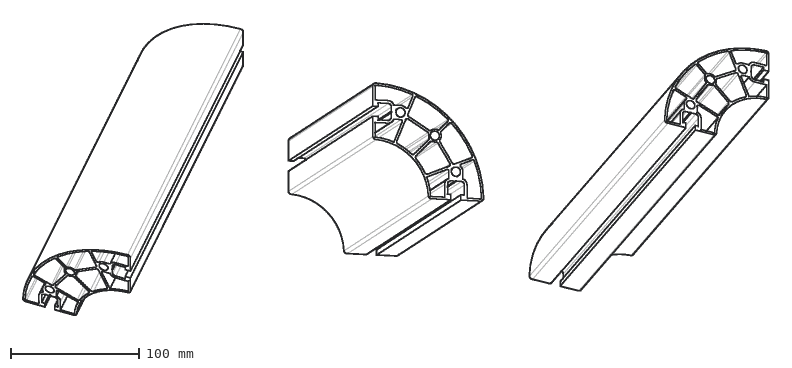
import cadquery as cq
import math

LENGTH = 250.0
OUTER_RADIUS = 89.665
INNER_RADIUS = 44.9
WALL = 1.8
OUTER_CORNER_RADIUS = 2.5

RIB = 1.9
MIDDLE_RIB = 2.0
MIDDLE_SPOKE_ANGLE = 45.0
SIDE_SPOKE_ANGLE = MIDDLE_SPOKE_ANGLE / 2

OUTER_JUNCTION_RADIUS = 1.1
INNER_JUNCTION_RADIUS = 2.0
BOSS_JUNCTION_RADIUS = 1.35
FOOT_RADIUS = 1.0
CLEARANCE = 0.1

SLOT_OFFSET = 67.2
SLOT_OPENING = 8.1
SLOT_WIDTH = 13.4
SLOT_DEPTH = 14.9
SLOT_LIP = 4.3
SLOT_WALL = 2.25
SLOT_CORNER_RADIUS = 2.6
NOTCH_WIDTH = 1.0
NOTCH_DEPTH = 0.5

END_HOLE_DIAMETER = 7.34
END_HOLE_HEIGHT = 22.4
END_BOSS_DIAMETER = 11.3

MIDDLE_HOLE_DIAMETER = 7.28
MIDDLE_BOSS_DIAMETER = 10.25
MIDDLE_OFFSET = 50.175
MIDDLE_CENTRE = (-MIDDLE_OFFSET, MIDDLE_OFFSET)


def profile_plane():
    """Sketch plane at y = 0, with local axes along +X and +Z."""
    return cq.Workplane("XZ")


def extruded(sketch):
    return sketch.extrude(-LENGTH)


def both_legs(leg):
    """A body of the lower leg together with its mirror image about the plane z = -x."""
    return leg.union(leg.rotate((0, 0, 0), (0, 1, 0), 90).mirror("YZ"))


def polar(radius, angle):
    """Section point at a radius and an angle from the -X axis."""
    return (-radius * math.cos(math.radians(angle)), radius * math.sin(math.radians(angle)))


def bar(x, z_low, width, z_high):
    """Full-length bar centred on x, between two heights."""
    height = z_high - z_low
    return extruded(profile_plane().center(x, z_low + height / 2).rect(width, height))


def rod(x, z, diameter):
    return extruded(profile_plane().center(x, z).circle(diameter / 2))


def quarter_ring(inner_radius, outer_radius, inset):
    """Ring sector between two radii, its end faces set in from the axes."""
    outer_reach = math.sqrt(outer_radius**2 - inset**2)
    inner_reach = math.sqrt(inner_radius**2 - inset**2)
    return extruded(
        profile_plane()
        .moveTo(-outer_reach, inset)
        .threePointArc(polar(outer_radius, MIDDLE_SPOKE_ANGLE), (-inset, outer_reach))
        .lineTo(-inset, inner_reach)
        .threePointArc(polar(inner_radius, MIDDLE_SPOKE_ANGLE), (-inner_reach, inset))
        .close()
    )


def web(start, end, thickness):
    """Flat web between two points of the section."""
    run = end[0] - start[0]
    rise = end[1] - start[1]
    slope = math.degrees(math.atan2(rise, run))
    plate = extruded(profile_plane().rect(math.hypot(run, rise), thickness))
    plate = plate.rotate((0, 0, 0), (0, 1, 0), -slope)
    return plate.translate((start[0] + run / 2, 0, start[1] + rise / 2))


def spoke(angle, thickness):
    """Radial web from the inner to the outer wall."""
    return web(polar(INNER_RADIUS, angle), polar(OUTER_RADIUS, angle), thickness)


def slot_housing():
    """Rounded wall around the slot."""
    width = SLOT_WIDTH + 2 * SLOT_WALL
    housing = bar(-SLOT_OFFSET, 0, width, SLOT_DEPTH + SLOT_WALL)
    return housing.edges("|Y and >Z").fillet(SLOT_CORNER_RADIUS + SLOT_WALL)


def end_boss():
    """Boss of the end screw channel, joined to the slot housing by a neck."""
    neck = bar(-SLOT_OFFSET, SLOT_DEPTH, END_BOSS_DIAMETER, END_HOLE_HEIGHT)
    return neck.union(rod(-SLOT_OFFSET, END_HOLE_HEIGHT, END_BOSS_DIAMETER))


def framework():
    """Everything that stands between the two curved walls."""
    brace = web((-SLOT_OFFSET, END_HOLE_HEIGHT), MIDDLE_CENTRE, RIB)
    leg = slot_housing().union(end_boss()).union(brace).union(spoke(SIDE_SPOKE_ANGLE, RIB))
    middle = rod(*MIDDLE_CENTRE, MIDDLE_BOSS_DIAMETER).union(spoke(MIDDLE_SPOKE_ANGLE, MIDDLE_RIB))
    return both_legs(leg).union(middle)


def blank():
    """Solid quarter ring with its four long corners rounded."""
    ring = quarter_ring(INNER_RADIUS, OUTER_RADIUS, 0)
    return ring.edges("|Y").fillet(OUTER_CORNER_RADIUS)


def corners(spaces, radii, heights):
    """Long edges whose distance from the Y axis and whose height lie in the given ranges."""

    def is_inside(edge):
        middle = edge.Center()
        radius = math.hypot(middle.x, middle.z)
        return radii[0] < radius < radii[1] and heights[0] < middle.z < heights[1]

    return spaces.edges("|Y").filter(is_inside)


def leg_cavities():
    """Hollow spaces of the lower leg, below the middle spoke, with filleted corners."""
    hollow = quarter_ring(INNER_RADIUS + WALL, OUTER_RADIUS - WALL, WALL).cut(framework())
    lower = hollow.solids().filter(lambda space: space.Center().z < -space.Center().x)
    spaces = cq.Workplane(obj=cq.Compound.makeCompound(lower.vals()))

    outer_face = OUTER_RADIUS - WALL - CLEARANCE
    inner_face = INNER_RADIUS + WALL + CLEARANCE
    end_face = WALL + CLEARANCE
    all_heights = (0, OUTER_RADIUS)
    above_side_spoke = (polar(inner_face, SIDE_SPOKE_ANGLE)[1], OUTER_RADIUS)
    above_end_hole = (END_HOLE_HEIGHT + CLEARANCE, OUTER_RADIUS)

    spaces = corners(spaces, (outer_face, OUTER_RADIUS), all_heights).fillet(OUTER_JUNCTION_RADIUS)
    spaces = corners(spaces, (INNER_RADIUS, inner_face), above_side_spoke).fillet(INNER_JUNCTION_RADIUS)
    spaces = corners(spaces, (inner_face, outer_face), above_end_hole).fillet(BOSS_JUNCTION_RADIUS)
    return corners(spaces, (SLOT_OFFSET, outer_face), (0, end_face)).fillet(FOOT_RADIUS)


def slot_space():
    """T-slot with a notch in its floor."""
    chamber = bar(-SLOT_OFFSET, SLOT_LIP, SLOT_WIDTH, SLOT_DEPTH)
    chamber = chamber.edges("|Y and >Z").fillet(SLOT_CORNER_RADIUS)
    notch = extruded(
        profile_plane()
        .moveTo(-SLOT_OFFSET - NOTCH_WIDTH / 2, SLOT_DEPTH)
        .lineTo(-SLOT_OFFSET, SLOT_DEPTH + NOTCH_DEPTH)
        .lineTo(-SLOT_OFFSET + NOTCH_WIDTH / 2, SLOT_DEPTH)
        .close()
    )
    opening = bar(-SLOT_OFFSET, 0, SLOT_OPENING, SLOT_LIP)
    return chamber.union(notch).union(opening)


end_hole = rod(-SLOT_OFFSET, END_HOLE_HEIGHT, END_HOLE_DIAMETER)
middle_hole = rod(*MIDDLE_CENTRE, MIDDLE_HOLE_DIAMETER)

profile = blank().cut(both_legs(leg_cavities()))
profile = profile.cut(both_legs(slot_space().union(end_hole)))
result = profile.cut(middle_hole)